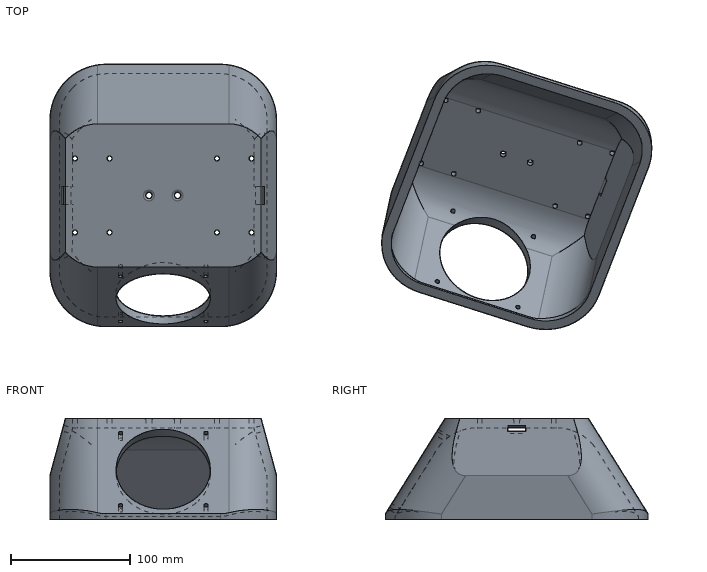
import cadquery as cq
import math

LENGTH_X = 190.0
LENGTH_Y = 220.0
HEIGHT = 85.0
WALL = 8.0

TOP_LENGTH_Y = 120.0
RIM_HEIGHT = 5.0
END_ANGLE = math.atan2(HEIGHT - RIM_HEIGHT, (LENGTH_Y - TOP_LENGTH_Y) / 2)

TOP_LENGTH_X = 164.0
SIDE_BREAK_HEIGHT = 37.0
SIDE_ANGLE = math.atan2(HEIGHT - SIDE_BREAK_HEIGHT, (LENGTH_X - TOP_LENGTH_X) / 2)

RIM_CORNER_RADIUS = 47.0
SLOPE_CORNER_RADIUS = 40.0
CEILING_RADIUS = 40.0

FAN_CENTER_HEIGHT = 42.3
FAN_DIAMETER = 79.0
FAN_SCREW_PITCH = 71.5
FAN_SCREW_DIAMETER = 3.5

MOUNT_HOLE_DIAMETER = 4.0
MOUNT_HOLE_X = (45.0, 74.0)
MOUNT_HOLE_Y = 31.0

ROUNDED_HOLE_SPACING = 24.0
ROUNDED_HOLE_DIAMETER = 5.0
ROUNDED_HOLE_MOUTH_RADIUS = 2.0

SLOT_CENTER_HEIGHT = 76.7
SLOT_LENGTH = 15.0
SLOT_WIDTH = 5.0

CUT_DEPTH = 2 * WALL


def tapered_prism(plane, top_length, angle, inset, depth):
    """Trapezoid that widens downward, drawn on the plane and extruded evenly to both sides."""
    top_height = HEIGHT - inset
    top_half = top_length / 2 + inset / math.tan(angle) - inset / math.sin(angle)
    bottom_half = top_half + top_height / math.tan(angle)
    outline = [
        (-bottom_half, 0),
        (bottom_half, 0),
        (top_half, top_height),
        (-top_half, top_height),
    ]
    return cq.Workplane(plane).polyline(outline).close().extrude(depth / 2, both=True)


def hood(inset):
    """The solid outer shape, moved inward by the inset on every face but the bottom."""
    width_x = LENGTH_X - 2 * inset
    width_y = LENGTH_Y - 2 * inset
    rim = cq.Workplane("XY").rect(width_x, width_y).extrude(HEIGHT)
    rim = rim.edges("|Z").fillet(RIM_CORNER_RADIUS - inset)
    ends = tapered_prism("YZ", TOP_LENGTH_Y, END_ANGLE, inset, width_x)
    slope_edges = ends.faces("<Y or >Y").edges("not |X")
    ends = slope_edges.fillet(SLOPE_CORNER_RADIUS - inset)
    sides = tapered_prism("XZ", TOP_LENGTH_X, SIDE_ANGLE, inset, LENGTH_Y)
    return rim.intersect(ends).intersect(sides)


def cavity():
    """Open-bottomed interior with large rounds where the ceiling meets the sloped ends."""
    rounded = tapered_prism("YZ", TOP_LENGTH_Y, END_ANGLE, WALL, LENGTH_X)
    rounded = rounded.faces(">Z").edges("|X").fillet(CEILING_RADIUS)
    return hood(WALL).intersect(rounded)


def cut_fan_opening(body):
    """Round fan opening and its four screw holes, square to the sloped front face."""
    front_y = -TOP_LENGTH_Y / 2 - (HEIGHT - FAN_CENTER_HEIGHT) / math.tan(END_ANGLE)
    normal = (0, -math.sin(END_ANGLE), math.cos(END_ANGLE))
    face = cq.Workplane(cq.Plane((0, front_y, FAN_CENTER_HEIGHT), (1, 0, 0), normal))
    opening = face.circle(FAN_DIAMETER / 2).extrude(-CUT_DEPTH)
    screws = face.rect(FAN_SCREW_PITCH, FAN_SCREW_PITCH, forConstruction=True).vertices()
    screws = screws.circle(FAN_SCREW_DIAMETER / 2).extrude(-CUT_DEPTH)
    return body.cut(opening).cut(screws)


def cut_top_holes(body):
    """Plain mounting holes in two rectangular patterns."""
    top = cq.Workplane("XY", origin=(0, 0, HEIGHT))
    for hole_x in MOUNT_HOLE_X:
        holes = top.rect(2 * hole_x, 2 * MOUNT_HOLE_Y, forConstruction=True).vertices()
        body = body.cut(holes.circle(MOUNT_HOLE_DIAMETER / 2).extrude(-CUT_DEPTH))
    return body


def rounded_hole_cutter():
    """Hole profile, flared by a convex quarter round at the top, turned about the Z axis."""
    hole_radius = ROUNDED_HOLE_DIAMETER / 2
    mouth_radius = hole_radius + ROUNDED_HOLE_MOUTH_RADIUS
    mouth_bottom = HEIGHT - ROUNDED_HOLE_MOUTH_RADIUS
    profile = (
        cq.Workplane("XZ")
        .moveTo(0, HEIGHT - CUT_DEPTH)
        .lineTo(hole_radius, HEIGHT - CUT_DEPTH)
        .lineTo(hole_radius, mouth_bottom)
        .radiusArc((mouth_radius, HEIGHT), ROUNDED_HOLE_MOUTH_RADIUS)
        .lineTo(0, HEIGHT)
        .close()
    )
    return profile.revolve(360, (0, 0, 0), (0, 1, 0))


def cut_rounded_holes(body):
    """Central pair of holes with rounded mouths."""
    for side in (-1, 1):
        body = body.cut(rounded_hole_cutter().translate((side * ROUNDED_HOLE_SPACING / 2, 0, 0)))
    return body


def cut_side_slots(body):
    """One horizontal slot near the top of each leaning side."""
    face_x = TOP_LENGTH_X / 2 + (HEIGHT - SLOT_CENTER_HEIGHT) / math.tan(SIDE_ANGLE)
    for side in (-1, 1):
        normal = (side * math.sin(SIDE_ANGLE), 0, math.cos(SIDE_ANGLE))
        face = cq.Plane((side * face_x, 0, SLOT_CENTER_HEIGHT), (0, 1, 0), normal)
        body = body.cut(cq.Workplane(face).rect(SLOT_LENGTH, SLOT_WIDTH).extrude(-CUT_DEPTH))
    return body


shell = hood(0).cut(cavity())
shell = cut_fan_opening(shell)
shell = cut_top_holes(shell)
shell = cut_rounded_holes(shell)
result = cut_side_slots(shell)